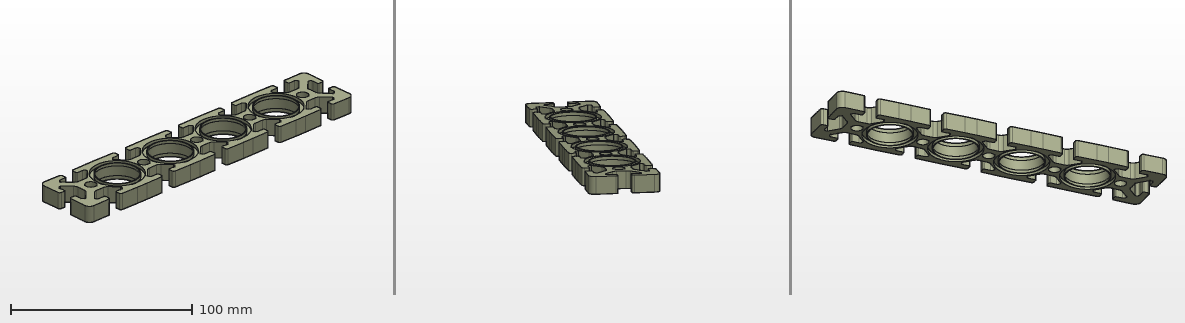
import cadquery as cq

CELL = 40.0
CELL_COUNT = 5
THICKNESS = 10.0
HALF_CELL = CELL / 2
LENGTH = CELL * CELL_COUNT
CORNER_RADIUS = 3.5

SLOT_HALF_OPENING = 4.0
LIP_THICKNESS = 4.5
LIP_DROP = 0.2
LIP_OUTER_RADIUS = 1.2
LIP_INNER_RADIUS = 0.5
CAVITY_HALF_WIDTH = 10.0
CAVITY_RADIUS = 1.5
CORE_HALF_WIDTH = 7.5
CORE_RADIUS = 3.5
WEB_OFFSET = 3.5
SLOT_OVERCUT = 2.0
PICK_MARGIN = 0.02

SCREW_HOLE_DIAMETER = 6.8
BORE_DIAMETER = 25.0
SLEEVE_DIAMETER = 26.0
GROOVE_DIAMETER = 31.0
GROOVE_DEPTH = 2.0

cell_centres = [(i - (CELL_COUNT - 1) / 2) * CELL for i in range(CELL_COUNT)]
bore_centres = [(0, y + HALF_CELL) for y in cell_centres[:-1]]


def make_plate():
    """Plain plate with rounded vertical corners, base on Z = 0."""
    plate = cq.Workplane("XY").box(CELL, LENGTH, THICKNESS, centered=(True, True, False))
    return plate.edges("|Z").fillet(CORNER_RADIUS)


def fillet_at(solid, x, y, radius):
    """Round the two upright edges at (+x, y) and (-x, y)."""
    for side in (x, -x):
        low = (side - PICK_MARGIN, y - PICK_MARGIN, -PICK_MARGIN)
        high = (side + PICK_MARGIN, y + PICK_MARGIN, THICKNESS + PICK_MARGIN)
        corner = cq.selectors.BoxSelector(low, high, boundingbox=True)
        solid = solid.edges("|Z").edges(corner).fillet(radius)
    return solid


def make_slot_cutter():
    """T-slot void opening toward +Y from a cell centred on the origin."""
    cavity_top = HALF_CELL - LIP_THICKNESS
    cavity_knee = CAVITY_HALF_WIDTH + WEB_OFFSET
    core_corner = CORE_HALF_WIDTH - WEB_OFFSET
    lip_end = HALF_CELL - LIP_DROP
    slope_start = HALF_CELL - CORNER_RADIUS
    rim = HALF_CELL + SLOT_OVERCUT

    right_side = [
        (core_corner, CORE_HALF_WIDTH),
        (CAVITY_HALF_WIDTH, cavity_knee),
        (CAVITY_HALF_WIDTH, cavity_top),
        (SLOT_HALF_OPENING, cavity_top),
        (SLOT_HALF_OPENING, lip_end),
        (slope_start, HALF_CELL),
        (slope_start, rim),
    ]
    left_side = [(-x, y) for x, y in reversed(right_side)]
    cutter = cq.Workplane("XY").polyline(right_side + left_side).close().extrude(THICKNESS)

    cutter = fillet_at(cutter, core_corner, CORE_HALF_WIDTH, CORE_RADIUS)
    cutter = fillet_at(cutter, CAVITY_HALF_WIDTH, cavity_top, CAVITY_RADIUS)
    cutter = fillet_at(cutter, SLOT_HALF_OPENING, cavity_top, LIP_INNER_RADIUS)
    return fillet_at(cutter, SLOT_HALF_OPENING, lip_end, LIP_OUTER_RADIUS)


def cut_slots(body):
    """Slots on both long sides of every cell, plus one on each end."""
    slot = make_slot_cutter()
    origin, z_axis = (0, 0, 0), (0, 0, 1)
    for y in cell_centres:
        for angle in (90, -90):
            body = body.cut(slot.rotate(origin, z_axis, angle).translate((0, y, 0)))
    for y, angle in ((cell_centres[-1], 0), (cell_centres[0], 180)):
        body = body.cut(slot.rotate(origin, z_axis, angle).translate((0, y, 0)))
    return body


def cut_screw_holes(body):
    """Through hole in the core of every cell."""
    centres = [(0, y) for y in cell_centres]
    holes = cq.Workplane("XY").pushPoints(centres).circle(SCREW_HOLE_DIAMETER / 2)
    return body.cut(holes.extrude(THICKNESS))


def cut_bores(body):
    """Large through bore where two cells meet."""
    bores = cq.Workplane("XY").pushPoints(bore_centres).circle(BORE_DIAMETER / 2)
    return body.cut(bores.extrude(THICKNESS))


def cut_sleeve_grooves(body):
    """Ring grooves in both faces that leave a thin sleeve around each bore."""
    for base in (0, THICKNESS - GROOVE_DEPTH):
        rings = cq.Workplane("XY").workplane(offset=base).pushPoints(bore_centres)
        rings = rings.circle(GROOVE_DIAMETER / 2).circle(SLEEVE_DIAMETER / 2).extrude(GROOVE_DEPTH)
        body = body.cut(rings)
    return body


result = cut_sleeve_grooves(cut_bores(cut_screw_holes(cut_slots(make_plate()))))